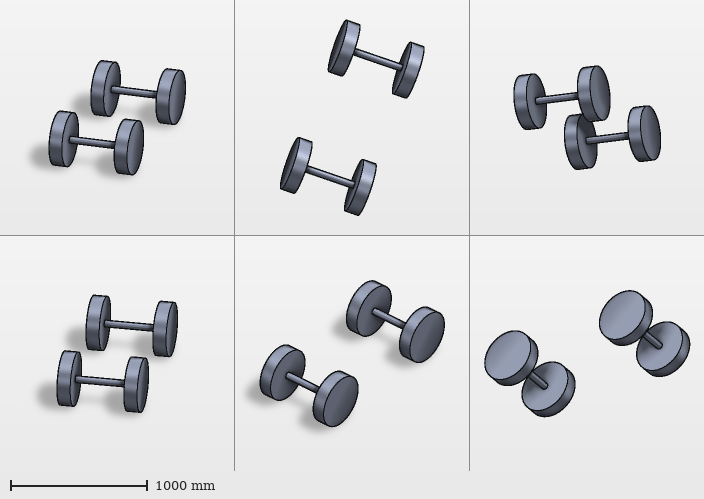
import cadquery as cq

overall_length = 1400.0
overall_width = 600.0
wheel_diameter = 400.0
wheel_width = 100.0
axle_diameter = 50.0

axle_spacing = overall_length - wheel_diameter
axle_length = overall_width - 2 * wheel_width
wheel_offset = (overall_width - wheel_width) / 2


def cylinder_along_x(diameter, length, x_center, y_center):
    """Solid cylinder parallel to X, centred on the given point at Z = 0."""
    return (
        cq.Workplane("YZ")
        .circle(diameter / 2)
        .extrude(length)
        .translate((x_center - length / 2, y_center, 0))
    )


def make_wheel(x_center, y_center):
    """Plain disc wheel."""
    return cylinder_along_x(wheel_diameter, wheel_width, x_center, y_center)


def make_axle(y_center):
    """Round axle that butts against the inner faces of its two wheels."""
    return cylinder_along_x(axle_diameter, axle_length, 0, y_center)


axles = []
wheels = []
for y_center in (-axle_spacing / 2, axle_spacing / 2):
    axles.append(make_axle(y_center).val())
    for x_center in (-wheel_offset, wheel_offset):
        wheels.append(make_wheel(x_center, y_center).val())

result = cq.Compound.makeCompound([*axles, *wheels])